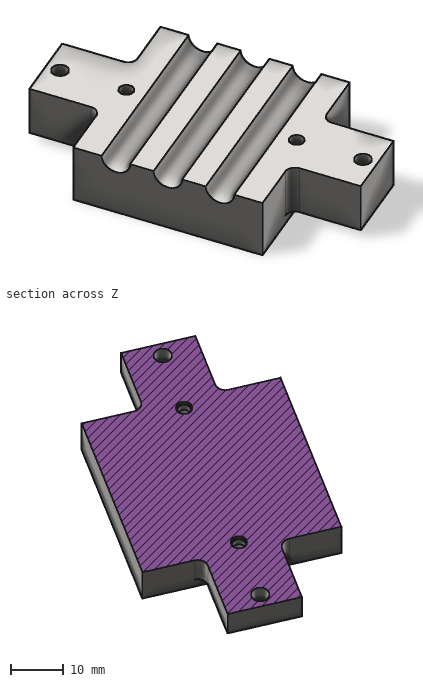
import cadquery as cq
import math

overall_length = 70.0
body_size = 40.0
body_height = 13.0
arm_width = 15.0
arm_height = 11.0
corner_radius = 2.0

groove_radius = 3.0
groove_pitch = 11.0

end_hole_diameter = 3.4
end_hole_offset = 32.0
inner_hole_offset = 18.0
thread_diameter = 3.0
thread_depth = 6.0
drill_diameter = 2.5
drill_depth = 7.5
drill_point_angle = 118.0

arm_bottom = body_height - arm_height


def make_blank():
    """Square body with two arms flush with its top, rounded where they meet."""
    body = cq.Workplane("XY").box(body_size, body_size, body_height, centered=(True, True, False))
    base = cq.Workplane("XY", origin=(0, 0, arm_bottom))
    arms = base.rect(overall_length, arm_width).extrude(arm_height)
    cross = base.rect(body_size, body_size).extrude(arm_height).union(arms)
    half_body = body_size / 2
    half_arm = arm_width / 2
    margin = 0.7
    inner_corners = cq.selectors.BoxSelector(
        (-half_body - margin, -half_arm - margin, 0),
        (half_body + margin, half_arm + margin, body_height),
    )
    return body.union(cross.edges("|Z").edges(inner_corners).fillet(corner_radius))


def make_grooves():
    """Three round bars along Y, centred on the top face."""
    return (
        cq.Workplane("XZ", origin=(0, body_size / 2, body_height))
        .pushPoints([(i * groove_pitch, 0) for i in (-1, 0, 1)])
        .circle(groove_radius)
        .extrude(body_size)
    )


def make_end_holes():
    """Two vertical cutters that pass through the arms."""
    return (
        cq.Workplane("XY", origin=(0, 0, arm_bottom))
        .pushPoints([(-end_hole_offset, 0), (end_hole_offset, 0)])
        .circle(end_hole_diameter / 2)
        .extrude(arm_height)
    )


def make_drill_cutter(offset):
    """Threaded bore, narrower core drilling below it and a conical drill point."""
    thread_radius = thread_diameter / 2
    drill_radius = drill_diameter / 2
    point_height = drill_radius / math.tan(math.radians(drill_point_angle / 2))
    half_profile = (
        cq.Workplane("XZ", origin=(offset, 0, body_height))
        .lineTo(thread_radius, 0)
        .lineTo(thread_radius, -thread_depth)
        .lineTo(drill_radius, -thread_depth)
        .lineTo(drill_radius, -drill_depth)
        .lineTo(0, -drill_depth - point_height)
        .close()
    )
    return half_profile.revolve(360, (0, 0, 0), (0, 1, 0))


result = make_blank().cut(make_grooves())
result = result.cut(make_end_holes())
for side in (-1, 1):
    result = result.cut(make_drill_cutter(side * inner_hole_offset))